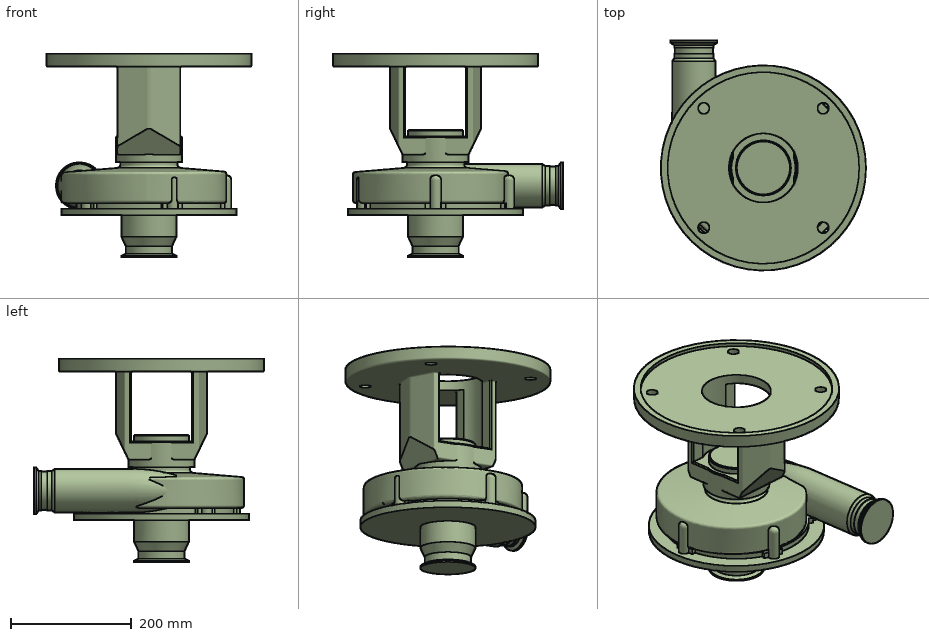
import cadquery as cq
import math

LONGEST_SIDE = 381.2
SELECT_MARGIN = 0.5

INLET_RIM_TOP = 2.5
INLET_NECK_BOTTOM = 6.0
INLET_NECK_TOP = 18.5
INLET_CONE_TOP = 34.3
COVER_BOTTOM = 69.8
COVER_TOP = 81.0
CASING_BOTTOM = 90.0
CASING_TOP = 148.5
HUB_BOTTOM = 158.0
BLOCK_BOTTOM = 169.5
HUB_TOP = 200.5
CAP_TOP = 211.0
PLATE_BOTTOM = 315.5
PLATE_TOP = 337.5

PLATE_RADIUS = 170.0
RECESS_RADIUS = 158.5
RECESS_DEPTH = 5.7
PLATE_BORE_RADIUS = 57.0
BOLT_HOLE_RADIUS = 9.0
BOLT_HOLE_OFFSET = 98.7
PLATE_EDGE_ROUND = 3.0

BRACKET_HALF_WIDTH = 52.2
BRACKET_RIDGE_Y = 75.5
BRACKET_SIDE_Y = 61.5
RIDGE_HALF_WIDTH = 2.3
WINDOW_HALF_WIDTH = 50.0
TAPER_TOP = 213.0
TAPER_END_Y = 54.5
BRACKET_ROUND = 2.3
BLOCK_ROUND = 3.0
JOINT_FILLET = 2.0

INLET_RIM_RADIUS = 45.7
INLET_NECK_RADIUS = 38.5
COVER_RADIUS = 145.2
SPACER_RADIUS = 120.0
NECK_RADIUS = 47.5
NECK_FLARE = 4.5
HUB_RADIUS = 55.0
CAP_RADIUS = 45.7
HUB_CHAMFER = 2.0

VOLUTE_RIGHT_REACH = 128.5
VOLUTE_GROWTH = 8.5
VOLUTE_STEP_ANGLE = 165.0
CASING_ROOF_SLOPE = 0.084
CASING_ROUND = 4.5

OUTLET_X = -115.0
OUTLET_Z = 118.5
OUTLET_END_Y = LONGEST_SIDE - PLATE_RADIUS
OUTLET_RIM_RADIUS = 39.0
OUTLET_NECK_RADIUS = 32.8
OUTLET_PIPE_RADIUS = 36.2
OUTLET_INNER_RADIUS = 25.5
OUTLET_INNER_Y = -24.8
OUTLET_TAPER_Y = 49.5
OUTLET_PIPE_END_Y = 176.5
OUTLET_NECK_START_Y = 181.5
OUTLET_NECK_END_Y = 203.0
OUTLET_GROOVE_START_Y = 189.0
OUTLET_GROOVE_END_Y = 198.5
OUTLET_GROOVE_RADIUS = 32.0
OUTLET_RIM_START_Y = 207.5

POST_COUNT = 5
POST_CIRCLE_RADIUS = 127.5
POST_RADIUS = 9.0
POST_TOP = 135.7
POST_ROUND = 7.2
PAD_LENGTH = 34.3
PAD_DEPTH = 15.2
PAD_OUTER_REACH = 125.8


def disc(radius, bottom, top):
    return cq.Workplane("XY").workplane(offset=bottom).circle(radius).extrude(top - bottom)


def box_between(half_depth, bottom, top):
    """Selector for what lies within the bracket width, a depth about the axis and two heights."""
    return cq.selectors.BoxSelector(
        (-BRACKET_HALF_WIDTH - SELECT_MARGIN, -half_depth - SELECT_MARGIN, bottom - SELECT_MARGIN),
        (BRACKET_HALF_WIDTH + SELECT_MARGIN, half_depth + SELECT_MARGIN, top + SELECT_MARGIN),
    )


def make_plate():
    plate = disc(PLATE_RADIUS, PLATE_BOTTOM, PLATE_TOP).faces("<Z").edges().fillet(PLATE_EDGE_ROUND)
    plate = plate.cut(disc(RECESS_RADIUS, PLATE_TOP - RECESS_DEPTH, PLATE_TOP))
    holes = (
        cq.Workplane("XY").workplane(offset=PLATE_BOTTOM)
        .rect(2 * BOLT_HOLE_OFFSET, 2 * BOLT_HOLE_OFFSET, forConstruction=True)
        .vertices().circle(BOLT_HOLE_RADIUS).extrude(PLATE_TOP - PLATE_BOTTOM)
    )
    return plate.cut(holes)


def make_bracket():
    """Two ridged arms on a base block, tapering in towards the hub."""
    half_plan = [
        (-BRACKET_HALF_WIDTH, BRACKET_SIDE_Y),
        (-RIDGE_HALF_WIDTH, BRACKET_RIDGE_Y),
        (RIDGE_HALF_WIDTH, BRACKET_RIDGE_Y),
        (BRACKET_HALF_WIDTH, BRACKET_SIDE_Y),
    ]
    plan = half_plan + [(-x, -y) for x, y in half_plan]
    bracket = (
        cq.Workplane("XY").workplane(offset=BLOCK_BOTTOM).polyline(plan).close()
        .extrude(PLATE_BOTTOM - BLOCK_BOTTOM)
    )
    bracket = bracket.edges("|Z").edges("<X or >X").fillet(BRACKET_ROUND)
    side = [
        (-TAPER_END_Y, BLOCK_BOTTOM),
        (TAPER_END_Y, BLOCK_BOTTOM),
        (BRACKET_RIDGE_Y, TAPER_TOP),
        (BRACKET_RIDGE_Y, PLATE_BOTTOM),
        (-BRACKET_RIDGE_Y, PLATE_BOTTOM),
        (-BRACKET_RIDGE_Y, TAPER_TOP),
    ]
    bracket = bracket.intersect(
        cq.Workplane("YZ").polyline(side).close().extrude(BRACKET_HALF_WIDTH, both=True)
    )
    window = cq.Workplane("XY").box(
        2 * BRACKET_HALF_WIDTH, 2 * WINDOW_HALF_WIDTH, PLATE_BOTTOM - HUB_TOP, centered=(True, True, False)
    )
    bracket = bracket.cut(window.translate((0, 0, HUB_TOP)))
    window_edges = bracket.edges(box_between(WINDOW_HALF_WIDTH, HUB_TOP, PLATE_BOTTOM))
    rim = window_edges.edges("|Z or |Y").edges("<X or >X")
    bracket = rim.chamfer(BRACKET_ROUND)
    return bracket.faces("<Z").edges().fillet(BLOCK_ROUND)


def make_frame():
    """Plate and bracket in one piece, filleted where they meet and bored through."""
    frame = make_plate().union(make_bracket())
    joint = frame.edges(box_between(BRACKET_RIDGE_Y, PLATE_BOTTOM, PLATE_BOTTOM))
    return joint.fillet(JOINT_FILLET).cut(disc(PLATE_BORE_RADIUS, HUB_TOP, PLATE_TOP))


def make_hub():
    """Neck flaring into the casing roof, hub above it and bearing cap on top."""
    neck = disc(NECK_RADIUS, CASING_BOTTOM, HUB_BOTTOM)
    flare = disc(NECK_RADIUS + NECK_FLARE, CASING_BOTTOM, CASING_TOP + NECK_FLARE)
    ring = cq.Solid.makeTorus(
        NECK_RADIUS + NECK_FLARE, NECK_FLARE, cq.Vector(0, 0, CASING_TOP + NECK_FLARE), cq.Vector(0, 0, 1)
    )
    neck = neck.union(flare.cut(cq.Workplane(ring)))
    hub = disc(HUB_RADIUS, HUB_BOTTOM, HUB_TOP).faces(">Z").edges().chamfer(HUB_CHAMFER)
    cap = disc(CAP_RADIUS, HUB_TOP, CAP_TOP).faces(">Z").edges().chamfer(HUB_CHAMFER)
    return neck.union(hub).union(cap)


def arc_point(center, radius, angle):
    return (
        center[0] + radius * math.cos(math.radians(angle)),
        center[1] + radius * math.sin(math.radians(angle)),
    )


def make_casing():
    """Spiral outline under a shallow conical roof; the spiral steps inside the outlet pipe."""
    half = VOLUTE_GROWTH / 2
    step = VOLUTE_STEP_ANGLE
    base_radius = VOLUTE_RIGHT_REACH + half
    arcs = [
        ((half, half), base_radius - 2 * VOLUTE_GROWTH, step, 90),
        ((half, -half), base_radius - VOLUTE_GROWTH, 90, 0),
        ((-half, -half), base_radius, 0, -90),
        ((-half, half), base_radius + VOLUTE_GROWTH, -90, -180),
        ((half, half), base_radius + 2 * VOLUTE_GROWTH, -180, step - 360),
    ]
    center, radius, start, _ = arcs[0]
    outline = cq.Workplane("XY").workplane(offset=CASING_BOTTOM).moveTo(*arc_point(center, radius, start))
    for center, radius, start, end in arcs:
        outline = outline.threePointArc(
            arc_point(center, radius, (start + end) / 2), arc_point(center, radius, end)
        )
    spiral = outline.close().extrude(CASING_TOP - CASING_BOTTOM)
    roof_drop = CASING_ROOF_SLOPE * (PLATE_RADIUS - NECK_RADIUS)
    roof = (
        cq.Workplane("XZ")
        .polyline([
            (0, CASING_BOTTOM),
            (PLATE_RADIUS, CASING_BOTTOM),
            (PLATE_RADIUS, CASING_TOP - roof_drop),
            (NECK_RADIUS, CASING_TOP),
            (0, CASING_TOP),
        ])
        .close().revolve(360, (0, 0, 0), (0, 1, 0))
    )
    casing = spiral.intersect(roof)
    roof_edges = casing.faces("not(|Z)").edges("not(|Z)")
    rim = [e for e in roof_edges.vals() if e.Center().x ** 2 + e.Center().y ** 2 > NECK_RADIUS ** 2]
    return casing.newObject(rim).fillet(CASING_ROUND)


def make_inlet():
    profile = [
        (0, 0),
        (INLET_RIM_RADIUS, 0),
        (INLET_RIM_RADIUS, INLET_RIM_TOP),
        (INLET_NECK_RADIUS, INLET_NECK_BOTTOM),
        (INLET_NECK_RADIUS, INLET_NECK_TOP),
        (INLET_RIM_RADIUS, INLET_CONE_TOP),
        (INLET_RIM_RADIUS, COVER_BOTTOM),
        (0, COVER_BOTTOM),
    ]
    return cq.Workplane("XZ").polyline(profile).close().revolve(360, (0, 0, 0), (0, 1, 0))


def make_outlet():
    taper_length = OUTLET_TAPER_Y - OUTLET_INNER_Y
    taper_drop = OUTLET_PIPE_RADIUS - OUTLET_INNER_RADIUS
    arc_radius = (taper_length ** 2 + taper_drop ** 2) / (2 * taper_drop)
    half_angle = math.asin(taper_length / arc_radius) / 2
    bulge = (
        OUTLET_PIPE_RADIUS - arc_radius * (1 - math.cos(half_angle)),
        OUTLET_TAPER_Y - arc_radius * math.sin(half_angle),
    )
    shell = [
        (OUTLET_PIPE_RADIUS, OUTLET_PIPE_END_Y),
        (OUTLET_NECK_RADIUS, OUTLET_NECK_START_Y),
        (OUTLET_NECK_RADIUS, OUTLET_GROOVE_START_Y),
        (OUTLET_GROOVE_RADIUS, OUTLET_GROOVE_START_Y),
        (OUTLET_GROOVE_RADIUS, OUTLET_GROOVE_END_Y),
        (OUTLET_NECK_RADIUS, OUTLET_GROOVE_END_Y),
        (OUTLET_NECK_RADIUS, OUTLET_NECK_END_Y),
        (OUTLET_RIM_RADIUS, OUTLET_RIM_START_Y),
        (OUTLET_RIM_RADIUS, OUTLET_END_Y),
        (0, OUTLET_END_Y),
        (0, OUTLET_INNER_Y),
        (OUTLET_INNER_RADIUS, OUTLET_INNER_Y),
    ]
    pipe = (
        cq.Workplane("XY").polyline(shell)
        .threePointArc(bulge, (OUTLET_PIPE_RADIUS, OUTLET_TAPER_Y))
        .close().revolve(360, (0, 0, 0), (0, 1, 0))
    )
    return pipe.translate((OUTLET_X, 0, OUTLET_Z))


def make_post(angle):
    """A round-topped post sunk into the casing wall, with a flat pad at its foot."""
    post = disc(POST_RADIUS, COVER_TOP, POST_TOP).faces(">Z").edges().fillet(POST_ROUND)
    post = post.translate((POST_CIRCLE_RADIUS, 0, 0))
    pad = cq.Workplane("XY").box(PAD_DEPTH, PAD_LENGTH, CASING_BOTTOM - COVER_TOP)
    pad = pad.translate((PAD_OUTER_REACH - PAD_DEPTH / 2, 0, (CASING_BOTTOM + COVER_TOP) / 2))
    return post.union(pad).rotate((0, 0, 0), (0, 0, 1), angle)


cover = disc(COVER_RADIUS, COVER_BOTTOM, COVER_TOP)
spacer = disc(SPACER_RADIUS, COVER_TOP, CASING_BOTTOM)

result = make_inlet().union(cover).union(spacer).union(make_casing())
for post_index in range(POST_COUNT):
    result = result.union(make_post(post_index * 360 / POST_COUNT))
result = result.union(make_outlet()).union(make_hub()).union(make_frame())